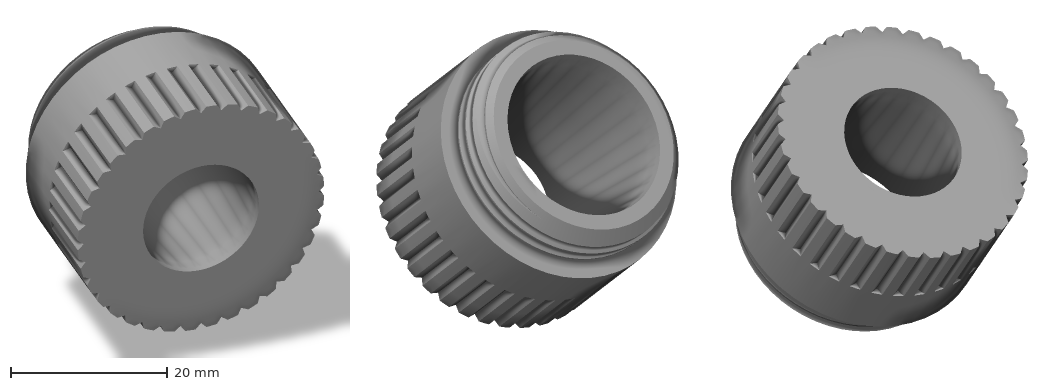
import cadquery as cq
import math

total_length = 25.0
collar_diameter = 34.0
collar_start = 7.0

thread_diameter = 30.0
thread_pitch = 2.0
thread_depth = 1.22
flank_angle = 30.0
crest_width = thread_pitch / 8
nose_tip_diameter = 25.98
nose_chamfer = (thread_diameter - nose_tip_diameter) / 2
groove_position = 2.48

bore_front_diameter = 22.0
bore_rear_diameter = 15.98

grip_start = 15.0
grip_count = 36
grip_width = 1.5
grip_depth = 0.8

overlap = 0.1


def thread_groove():
    """Helical trapezoid groove that runs past both ends of the nose."""
    flank_slope = math.tan(math.radians(flank_angle))
    root_radius = thread_diameter / 2 - thread_depth
    outer_radius = thread_diameter / 2 + overlap
    crest_half = (thread_pitch - crest_width) / 2
    root_half = crest_half - thread_depth * flank_slope
    outer_half = crest_half + overlap * flank_slope

    start = groove_position - 2 * thread_pitch
    turns = math.ceil((collar_start - start) / thread_pitch) + 1
    helix = cq.Wire.makeHelix(thread_pitch, turns * thread_pitch, root_radius)
    groove = (
        cq.Workplane("XZ")
        .moveTo(root_radius, -root_half)
        .lineTo(outer_radius, -outer_half)
        .lineTo(outer_radius, outer_half)
        .lineTo(root_radius, root_half)
        .close()
        .sweep(cq.Workplane(helix), isFrenet=True)
    )
    return groove.rotate((0, 0, 0), (0, 1, 0), 90).translate((start, 0, 0))


def threaded_nose():
    """Cylinder with a 45 degree tip chamfer and the thread cut into it."""
    threaded_bar = (
        cq.Workplane("YZ", origin=(-total_length, 0, 0))
        .circle(thread_diameter / 2)
        .extrude(2 * total_length)
        .cut(thread_groove())
    )
    nose = cq.Workplane("YZ").circle(thread_diameter / 2).extrude(collar_start)
    nose = nose.faces("<X").chamfer(nose_chamfer)
    return nose.intersect(threaded_bar)


def grip_grooves():
    """Ring of V-grooves, open at the rear face."""
    collar_radius = collar_diameter / 2
    edge_radius = math.sqrt(collar_radius**2 - (grip_width / 2) ** 2)
    bottom_radius = collar_radius - grip_depth
    outer_radius = collar_radius + overlap
    widening = (outer_radius - bottom_radius) / (edge_radius - bottom_radius)
    outer_half = grip_width / 2 * widening
    groove = (
        cq.Workplane("YZ", origin=(grip_start, 0, 0))
        .moveTo(bottom_radius, 0)
        .lineTo(outer_radius, outer_half)
        .lineTo(outer_radius, -outer_half)
        .close()
        .extrude(total_length - grip_start)
    )
    grooves = cq.Workplane()
    for index in range(grip_count):
        angle = index * 360 / grip_count
        grooves = grooves.add(groove.rotate((0, 0, 0), (1, 0, 0), angle))
    return grooves.combine()


def collar():
    """Plain cylinder behind the nose, with the grip cut into its rear part."""
    body = (
        cq.Workplane("YZ", origin=(collar_start, 0, 0))
        .circle(collar_diameter / 2)
        .extrude(total_length - collar_start)
    )
    return body.cut(grip_grooves())


def bore():
    """Cone that narrows from the tip of the nose to the rear face."""
    return cq.Workplane(
        cq.Solid.makeCone(
            bore_front_diameter / 2,
            bore_rear_diameter / 2,
            total_length,
            pnt=cq.Vector(0, 0, 0),
            dir=cq.Vector(1, 0, 0),
        )
    )


result = threaded_nose().union(collar()).cut(bore())